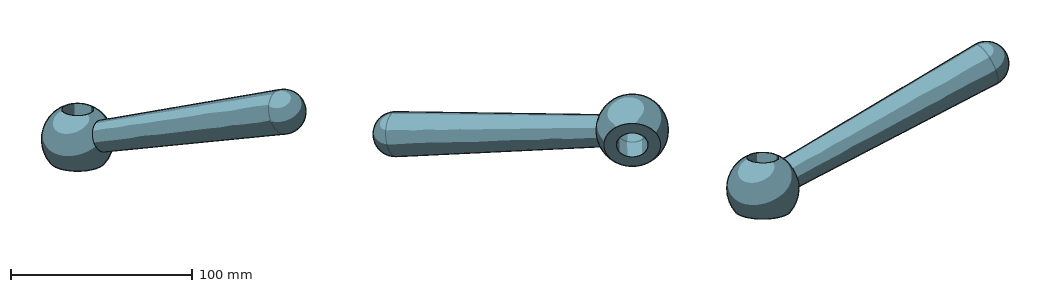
import cadquery as cq
import math

length = 171.1

ball_radius = 20.0
base_depth = 12.5
bore_radius = 8.7

handle_angle = 20.0
end_radius = 12.5
neck_radius = 8.9
neck_distance = 17.8

end_x = length - ball_radius - end_radius
end_distance = end_x / math.cos(math.radians(handle_angle))


def make_ball():
    """Ball cut flat below its centre."""
    keep = (
        cq.Workplane("XY")
        .workplane(offset=-base_depth)
        .circle(ball_radius)
        .extrude(base_depth + ball_radius)
    )
    return cq.Workplane("XY").sphere(ball_radius).intersect(keep)


def make_handle():
    """Revolve the taper and its tangent round end about X, then tilt it upwards."""
    neck_to_end = math.hypot(end_distance - neck_distance, neck_radius)
    line_angle = math.atan2(neck_radius, end_distance - neck_distance)
    tangent_angle = line_angle + math.acos(end_radius / neck_to_end)
    tangent_x = end_distance - end_radius * math.cos(tangent_angle)
    tangent_y = end_radius * math.sin(tangent_angle)
    half_angle = (math.pi - tangent_angle) / 2
    middle_x = end_distance + end_radius * math.cos(half_angle)
    middle_y = end_radius * math.sin(half_angle)
    profile = (
        cq.Workplane("XY")
        .moveTo(neck_distance, 0)
        .lineTo(neck_distance, neck_radius)
        .lineTo(tangent_x, tangent_y)
        .threePointArc((middle_x, middle_y), (end_distance + end_radius, 0))
        .close()
    )
    handle = profile.revolve(360, (0, 0, 0), (1, 0, 0))
    return handle.rotate((0, 0, 0), (0, 1, 0), -handle_angle)


def make_bore():
    """Vertical through bore of the ball."""
    return cq.Workplane("XY").circle(bore_radius).extrude(ball_radius, both=True)


result = make_ball().union(make_handle()).cut(make_bore())